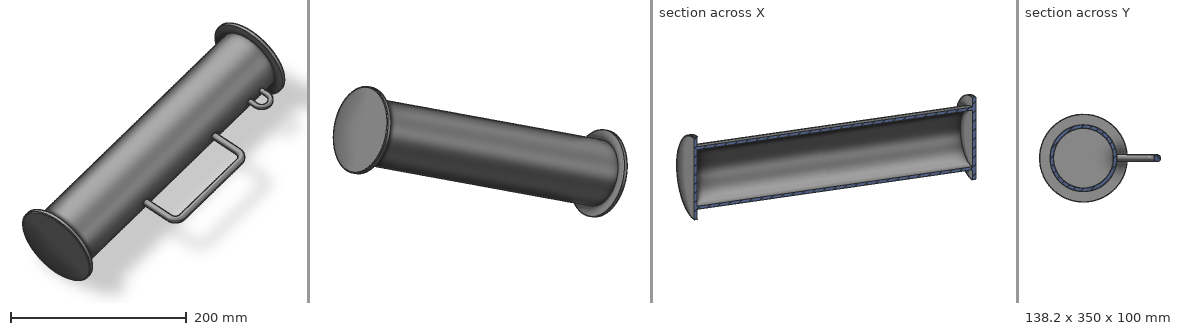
import cadquery as cq
import math

overall_length = 350.0
tube_diameter = 76.3
bore_diameter = 68.0
cap_diameter = 100.0
cap_thickness = 5.0
cap_chamfer = 1.0
tube_length = overall_length - 2 * cap_thickness
tube_radius = tube_diameter / 2

bend_radius = 10.0
handle_rod_diameter = 8.0
handle_reach = 88.2
handle_leg_spacing = 122.5
hook_rod_diameter = 6.0
hook_leg_end = 48.0
hook_center_y = 135.0


def y_cylinder(diameter, length):
    """Cylinder on the Y axis, centred on the origin."""
    return cq.Workplane("XZ").circle(diameter / 2).extrude(length / 2, both=True)


def make_cap(side):
    """Disc at one tube end; side is -1 or +1 along Y, with its outer rim chamfered."""
    outer_face = "<Y" if side < 0 else ">Y"
    center_y = side * (overall_length - cap_thickness) / 2
    disc = y_cylinder(cap_diameter, cap_thickness).faces(outer_face).chamfer(cap_chamfer)
    return disc.translate((0, center_y, 0))


def make_housing():
    """Hollow tube and both caps as one solid, with the bore enclosed between the caps."""
    housing = y_cylinder(tube_diameter, tube_length).cut(y_cylinder(bore_diameter, tube_length))
    for side in (-1, 1):
        housing = housing.union(make_cap(side))
    return housing


def sweep_rod(path, diameter, start_y):
    """Round rod along a centreline that leaves the tube wall in the +X direction."""
    profile = cq.Workplane("YZ", origin=(tube_radius, start_y, 0)).circle(diameter / 2)
    return profile.sweep(path)


def make_handle():
    """U-shaped handle with two quarter-circle bends."""
    grip_x = handle_reach - handle_rod_diameter / 2
    leg_end = grip_x - bend_radius
    leg_y = handle_leg_spacing / 2
    grip_y = leg_y - bend_radius
    middle_x = leg_end + bend_radius * math.sin(math.pi / 4)
    middle_y = grip_y + bend_radius * math.cos(math.pi / 4)
    path = (
        cq.Workplane("XY")
        .moveTo(tube_radius, -leg_y)
        .lineTo(leg_end, -leg_y)
        .threePointArc((middle_x, -middle_y), (grip_x, -grip_y))
        .lineTo(grip_x, grip_y)
        .threePointArc((middle_x, middle_y), (leg_end, leg_y))
        .lineTo(tube_radius, leg_y)
    )
    return sweep_rod(path, handle_rod_diameter, -leg_y)


def make_hook():
    """Small loop with a half-circle end."""
    lower_y = hook_center_y - bend_radius
    upper_y = hook_center_y + bend_radius
    path = (
        cq.Workplane("XY")
        .moveTo(tube_radius, lower_y)
        .lineTo(hook_leg_end, lower_y)
        .threePointArc((hook_leg_end + bend_radius, hook_center_y), (hook_leg_end, upper_y))
        .lineTo(tube_radius, upper_y)
    )
    return sweep_rod(path, hook_rod_diameter, lower_y)


housing = make_housing().solids()
handle = make_handle().solids()
hook = make_hook().solids()

result = cq.Compound.makeCompound([housing.val(), handle.val(), hook.val()])